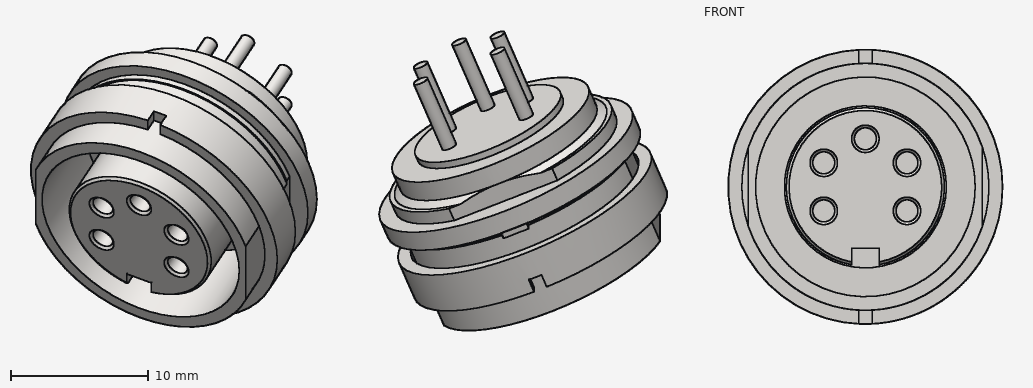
import cadquery as cq
import math


shell_front = 0.25
nut_front = 2.48
nut_length = 3.0
nut_rear = nut_front + nut_length
ring_front = 7.1
flange_front = 7.55
flange_rear = flange_front + 1.5
shoulder_rear = flange_rear + 1.0
cone_rear = shoulder_rear + 0.4
collar_rear = 12.0
insert_rear = 12.52
pin_tip = 18.0

flange_radius = 10.0
nut_radius = flange_radius
shell_radius = 9.0
cavity_radius = 8.0
ring_radius = 9.12
shoulder_radius = 8.75
cone_radius = 8.38
collar_radius = 7.78

shell_flat = 8.52
shoulder_flat = 7.75

tab_width = 2.0
tab_reach = 9.85
notch_width = 1.0
notch_length = 1.0

insert_radius = 5.75
insert_chamfer = 0.2
insert_base_radius = 5.9
insert_base_height = 0.2
key_width = 2.0
key_floor = 4.45

contact_circle = 3.5
contact_angles = [-30, 30, 90, 150, 210]
pin_diameter = 1.1
socket_diameter = 1.6
socket_depth = 6.0
socket_chamfer = 0.2


def disc(radius, front, rear):
    """Solid cylinder about the Y axis between two axial positions."""
    return cq.Workplane("XZ", origin=(0, front, 0)).circle(radius).extrude(front - rear)


def block(x_size, front, rear, z_low, z_high):
    """Box centred on x = 0 between the given axial positions and heights."""
    size = (x_size, rear - front, z_high - z_low)
    return cq.Workplane("XY").box(*size, centered=(True, False, False)).translate((0, front, z_low))


def cone(front_radius, rear_radius, front, rear):
    """Truncated cone about the Y axis."""
    outline = [(0, front), (front_radius, front), (rear_radius, rear), (0, rear)]
    return cq.Workplane("XY").polyline(outline).close().revolve(360, (0, 0), (0, 1))


def contact_points():
    """Contact centres as (x, z) pairs."""
    angles = [math.radians(angle) for angle in contact_angles]
    return [(contact_circle * math.cos(a), contact_circle * math.sin(a)) for a in angles]


def make_shell():
    """Threaded sleeve and ring with two side flats, hollowed from the front, plus the locating tab."""
    sleeve = disc(shell_radius, shell_front, flange_front)
    sleeve = sleeve.union(disc(ring_radius, ring_front, flange_front))
    between_flats = block(2 * shell_flat, shell_front, flange_front, -flange_radius, flange_radius)
    sleeve = sleeve.intersect(between_flats)
    sleeve = sleeve.union(block(tab_width, ring_front, flange_front, -tab_reach, -cavity_radius))
    return sleeve.cut(disc(cavity_radius, shell_front, flange_front))


def make_rear_body():
    """Flange, shoulder with flats above and below, cone and rear collar."""
    shoulder = disc(shoulder_radius, flange_rear, shoulder_rear)
    shoulder = shoulder.union(cone(cone_radius, collar_radius, shoulder_rear, cone_rear))
    between_flats = block(2 * flange_radius, flange_rear, cone_rear, -shoulder_flat, shoulder_flat)
    shoulder = shoulder.intersect(between_flats)
    flange = disc(flange_radius, flange_front, flange_rear)
    return flange.union(shoulder).union(disc(collar_radius, cone_rear, collar_rear))


def make_nut():
    """Ring nut with a notch at the top and at the bottom of its front face."""
    nut = disc(nut_radius, nut_front, nut_rear).cut(disc(shell_radius, nut_front, nut_rear))
    notch_rear = nut_front + notch_length
    return nut.cut(block(notch_width, nut_front, notch_rear, -nut_radius, nut_radius))


def make_insert():
    """Insert with chamfered front rim and a key slot, standing on a slightly wider base."""
    base_front = flange_front - insert_base_height
    insert = disc(insert_radius, 0, insert_rear).faces("<Y").chamfer(insert_chamfer)
    insert = insert.cut(block(key_width, 0, base_front, -insert_radius, -key_floor))
    return insert.union(disc(insert_base_radius, base_front, flange_front))


def make_socket(x, z):
    """Cutter for one contact socket with a chamfered mouth."""
    socket_radius = socket_diameter / 2
    bore = disc(socket_radius, 0, socket_depth)
    mouth = cone(socket_radius + socket_chamfer, socket_radius, 0, socket_chamfer)
    return bore.union(mouth).translate((x, 0, z))


result = make_shell().union(make_rear_body()).union(make_nut()).union(make_insert())
for x, z in contact_points():
    result = result.cut(make_socket(x, z))
    result = result.union(disc(pin_diameter / 2, insert_rear, pin_tip).translate((x, 0, z)))